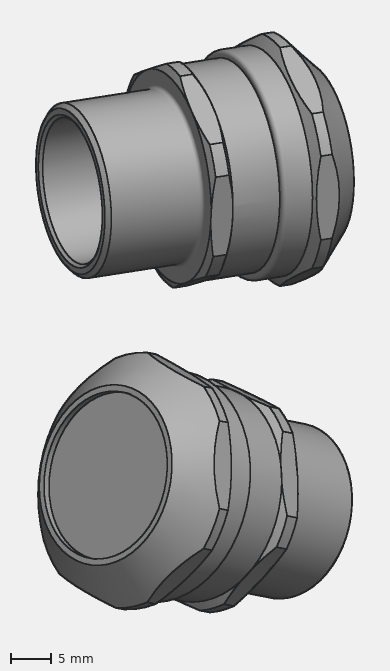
import cadquery as cq
import math

length = 33.47
front_y = -length / 2
back_y = front_y + length

tube_diameter = 22.0
bore_diameter = 18.4
bore_depth = 12.52
tube_chamfer = 0.6
bore_chamfer = 0.4
tube_root_fillet = 0.5

small_hex_front_y = front_y + 13.05
small_hex_length = 2.95
small_hex_flats = 26.9
small_hex_corners = 29.0
small_hex_turn = -4.0
small_hex_front_bevel = 0.47
small_hex_back_bevel = 0.67

body_diameter = 27.0
collar_diameter = 29.0
collar_front_y = front_y + 22.35
collar_fillet = 0.57

nut_front_y = front_y + 26.37
nut_front_bevel = 0.9
nut_rim_length = 1.55
nut_flats = 30.0
nut_corners = 31.95
cap_diameter = 22.6
recess_diameter = 21.0
recess_depth = 0.9


def cylinder(diameter, start_y, height):
    """Solid cylinder along +Y."""
    plane = cq.Workplane("XZ", origin=(0, start_y, 0))
    return plane.circle(diameter / 2).extrude(-height)


def hexagon(flats, start_y, height, turn=0.0):
    """Hexagonal prism along +Y; with no turn, two flats face +X and -X."""
    corner_circle = flats / math.cos(math.radians(30))
    plane = cq.Workplane("XZ", origin=(0, start_y, 0))
    prism = plane.transformed(rotate=(0, 0, 30 + turn)).polygon(6, corner_circle)
    return prism.extrude(-height)


def beveled_blank(front_diameter, rim_diameter, back_diameter, start_y, front_bevel, rim, back_bevel):
    """Turned blank: a front cone, a cylindrical rim and a back cone."""
    rim_start_y = start_y + front_bevel
    rim_end_y = rim_start_y + rim
    end_y = rim_end_y + back_bevel
    profile = (
        cq.Workplane("XY")
        .moveTo(0, start_y)
        .lineTo(front_diameter / 2, start_y)
        .lineTo(rim_diameter / 2, rim_start_y)
        .lineTo(rim_diameter / 2, rim_end_y)
        .lineTo(back_diameter / 2, end_y)
        .lineTo(0, end_y)
        .close()
    )
    return profile.revolve(360, (0, 0, 0), (0, 1, 0))


def make_tube():
    tube = cylinder(tube_diameter, front_y, small_hex_front_y - front_y)
    return tube.faces("<Y").chamfer(tube_chamfer)


def make_root_fillet():
    """Concave ring where the tube meets the small hexagon."""
    radius = tube_diameter / 2
    start_y = small_hex_front_y - tube_root_fillet
    arc_offset = tube_root_fillet * (1 - math.sqrt(0.5))
    profile = (
        cq.Workplane("XY")
        .moveTo(0, start_y)
        .lineTo(radius, start_y)
        .threePointArc(
            (radius + arc_offset, small_hex_front_y - arc_offset),
            (radius + tube_root_fillet, small_hex_front_y),
        )
        .lineTo(0, small_hex_front_y)
        .close()
    )
    return profile.revolve(360, (0, 0, 0), (0, 1, 0))


def make_small_hexagon():
    rim = small_hex_length - small_hex_front_bevel - small_hex_back_bevel
    blank = beveled_blank(
        small_hex_flats, small_hex_corners, body_diameter,
        small_hex_front_y, small_hex_front_bevel, rim, small_hex_back_bevel,
    )
    return blank.intersect(hexagon(small_hex_flats, small_hex_front_y, small_hex_length, small_hex_turn))


def make_body():
    start_y = small_hex_front_y + small_hex_length
    return cylinder(body_diameter, start_y, collar_front_y - start_y)


def make_collar():
    collar = cylinder(collar_diameter, collar_front_y, nut_front_y - collar_front_y)
    return collar.faces("<Y").edges().fillet(collar_fillet)


def make_nut():
    nut_length = back_y - nut_front_y
    cap_length = nut_length - nut_front_bevel - nut_rim_length
    blank = beveled_blank(
        collar_diameter, nut_corners, cap_diameter,
        nut_front_y, nut_front_bevel, nut_rim_length, cap_length,
    )
    return blank.intersect(hexagon(nut_flats, nut_front_y, nut_length))


def make_bore():
    """Blind bore with a chamfered mouth."""
    mouth_radius = bore_diameter / 2 + bore_chamfer
    profile = (
        cq.Workplane("XY")
        .moveTo(0, front_y)
        .lineTo(mouth_radius, front_y)
        .lineTo(bore_diameter / 2, front_y + bore_chamfer)
        .lineTo(bore_diameter / 2, front_y + bore_depth)
        .lineTo(0, front_y + bore_depth)
        .close()
    )
    return profile.revolve(360, (0, 0, 0), (0, 1, 0))


result = (
    make_tube()
    .union(make_root_fillet())
    .union(make_small_hexagon())
    .union(make_body())
    .union(make_collar())
    .union(make_nut())
    .cut(make_bore())
    .cut(cylinder(recess_diameter, back_y - recess_depth, recess_depth))
)